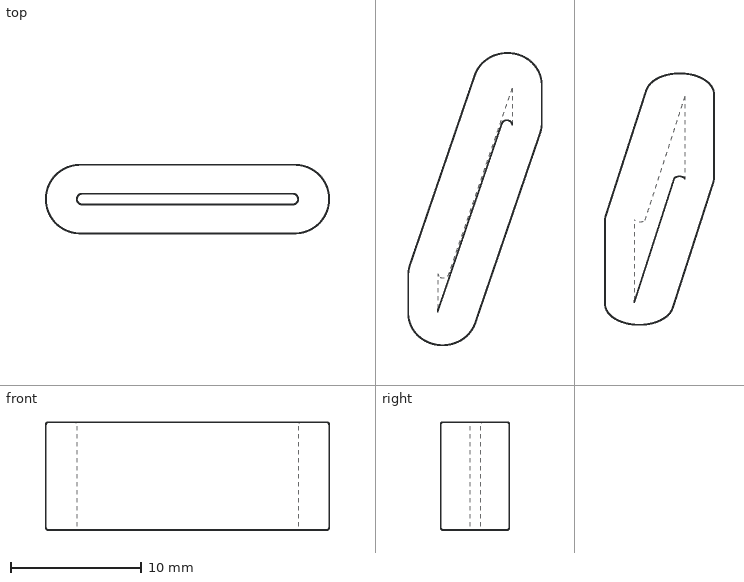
import cadquery as cq

LENGTH = 21.8
WIDTH = 5.3
HEIGHT = 8.3

SLOT_LENGTH = 17.0
SLOT_WIDTH = 0.8

RIM_RADIUS = 0.2


def stadium_prism(length, width):
    """Upright prism with semicircular ends, centred on the origin."""
    return (
        cq.Workplane("XY")
        .slot2D(length, width)
        .extrude(HEIGHT / 2, both=True)
    )


def make_sleeve():
    """Round-ended block with a flat through slot and rounded rims."""
    body = stadium_prism(LENGTH, WIDTH)
    slot = stadium_prism(SLOT_LENGTH, SLOT_WIDTH)
    return body.cut(slot).faces("<Z or >Z").edges().fillet(RIM_RADIUS)


sleeve = make_sleeve()

result = cq.Compound.makeCompound(sleeve.solids().vals())